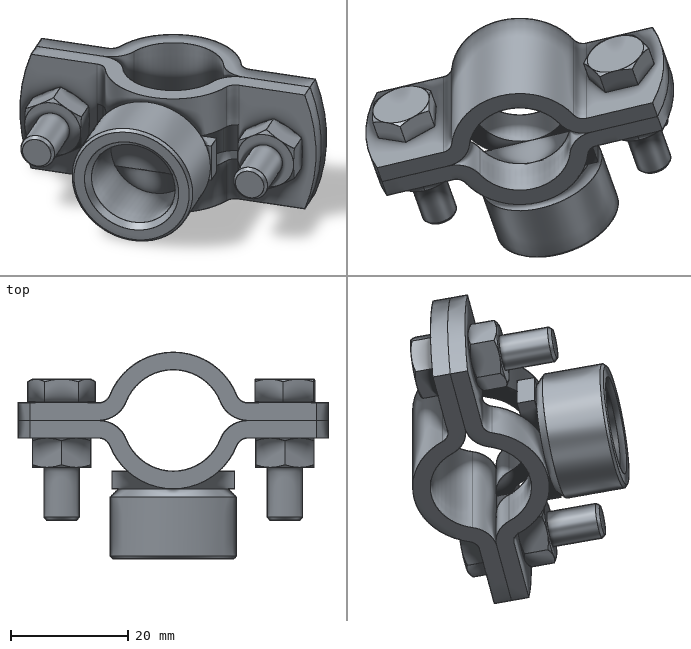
import cadquery as cq
import math

CLAMP_LENGTH = 52.85
CLAMP_HEIGHT = 22.0
STRAP_THICKNESS = 3.0
PIPE_RADIUS = 8.6
BEND_RADIUS = 2.0
END_SAGITTA = 2.0

SLOT_LENGTH = 25.05
BAR_LENGTH = 20.9
BAR_HEIGHT = 6.55

SOCKET_DIAMETER = 21.5
SOCKET_LENGTH = 11.95
SOCKET_BORE = 14.9
SOCKET_REAR_CHAMFER = 1.4
SOCKET_RIM_CHAMFER = 0.5
SOCKET_BORE_CHAMFER = 0.95

BOLT_SPACING = 38.0
BOLT_DIAMETER = 6.0
BOLT_LENGTH = 20.0
BOLT_TIP_RADIAL = 0.5
BOLT_TIP_AXIAL = 0.6
HEX_ACROSS_FLATS = 10.0
HEX_CHAMFER_ANGLE = 30.0
HEAD_THICKNESS = 4.0
WASHER_FACE_DIAMETER = 9.0
WASHER_FACE_THICKNESS = 0.15
NUT_THICKNESS = 4.95
LEFT_HEAD_TURN = 0.0
RIGHT_HEAD_TURN = 32.8
NUT_TURN = 30.0

ARCH_RADIUS = PIPE_RADIUS + STRAP_THICKNESS
HEX_ACROSS_CORNERS = HEX_ACROSS_FLATS / math.cos(math.radians(30))

BEND_CENTRE_Y = STRAP_THICKNESS + BEND_RADIUS
BEND_CENTRE_X = math.sqrt((ARCH_RADIUS + BEND_RADIUS) ** 2 - BEND_CENTRE_Y**2)
JOINT_ANGLE = math.atan2(BEND_CENTRE_Y, BEND_CENTRE_X)


def along_y(y):
    """Sketch plane at the given Y, facing +Y, with local X along X and local Y along -Z."""
    return cq.Workplane(cq.Plane(origin=(0, y, 0), xDir=(1, 0, 0), normal=(0, 1, 0)))


def arch_point(radius, angle):
    """Point on a circle about the pipe axis."""
    return (radius * math.cos(angle), radius * math.sin(angle))


def bend_middle(radius):
    """Middle of a right-hand bend arc, between the flange and the arch joint."""
    angle = (JOINT_ANGLE + math.pi + 1.5 * math.pi) / 2
    return (BEND_CENTRE_X + radius * math.cos(angle), BEND_CENTRE_Y + radius * math.sin(angle))


def mirror_x(point):
    return (-point[0], point[1])


def make_rear_half():
    """Strap of constant thickness: flange, bend, arch, bend, flange, on the +Y side."""
    tip = CLAMP_LENGTH / 2
    inner_joint = arch_point(PIPE_RADIUS, JOINT_ANGLE)
    outer_joint = arch_point(ARCH_RADIUS, JOINT_ANGLE)
    inner_bend = bend_middle(BEND_RADIUS + STRAP_THICKNESS)
    outer_bend = bend_middle(BEND_RADIUS)
    strap = (
        cq.Workplane("XY")
        .workplane(offset=-CLAMP_HEIGHT / 2)
        .moveTo(tip, 0)
        .lineTo(BEND_CENTRE_X, 0)
        .threePointArc(inner_bend, inner_joint)
        .threePointArc((0, PIPE_RADIUS), mirror_x(inner_joint))
        .threePointArc(mirror_x(inner_bend), (-BEND_CENTRE_X, 0))
        .lineTo(-tip, 0)
        .lineTo(-tip, STRAP_THICKNESS)
        .lineTo(-BEND_CENTRE_X, STRAP_THICKNESS)
        .threePointArc(mirror_x(outer_bend), mirror_x(outer_joint))
        .threePointArc((0, ARCH_RADIUS), outer_joint)
        .threePointArc(outer_bend, (BEND_CENTRE_X, STRAP_THICKNESS))
        .lineTo(tip, STRAP_THICKNESS)
        .close()
        .extrude(CLAMP_HEIGHT)
    )
    holes = (
        along_y(0)
        .pushPoints([(-BOLT_SPACING / 2, 0), (BOLT_SPACING / 2, 0)])
        .circle(BOLT_DIAMETER / 2)
        .extrude(STRAP_THICKNESS)
    )
    return strap.intersect(make_end_outline()).cut(holes)


def make_end_outline():
    """Block with bulged ends that rounds off the flange tips."""
    tip = CLAMP_LENGTH / 2
    corner_x = tip - END_SAGITTA
    corner_z = CLAMP_HEIGHT / 2
    return (
        along_y(0)
        .moveTo(-corner_x, -corner_z)
        .lineTo(corner_x, -corner_z)
        .threePointArc((tip, 0), (corner_x, corner_z))
        .lineTo(-corner_x, corner_z)
        .threePointArc((-tip, 0), (-corner_x, -corner_z))
        .close()
        .extrude(ARCH_RADIUS)
    )


def make_front_half():
    """Mirror image of the rear half, with a window across its arch for the socket bar."""
    window = cq.Workplane("XY").box(SLOT_LENGTH, 2 * ARCH_RADIUS, BAR_HEIGHT)
    return make_rear_half().mirror("XZ").cut(window)


def make_socket():
    """Plain-bored pipe socket carried on a bar that sits in the window."""
    rear = -ARCH_RADIUS
    face = rear - SOCKET_LENGTH
    radius = SOCKET_DIAMETER / 2
    bore = SOCKET_BORE / 2
    sleeve = (
        cq.Workplane("XY")
        .moveTo(bore, rear)
        .lineTo(radius - SOCKET_REAR_CHAMFER, rear)
        .lineTo(radius, rear - SOCKET_REAR_CHAMFER)
        .lineTo(radius, face + SOCKET_RIM_CHAMFER)
        .lineTo(radius - SOCKET_RIM_CHAMFER, face)
        .lineTo(bore + SOCKET_BORE_CHAMFER, face)
        .lineTo(bore, face + SOCKET_BORE_CHAMFER)
        .close()
        .revolve(360, (0, 0, 0), (0, 1, 0))
    )
    bar = along_y(rear).rect(BAR_LENGTH, BAR_HEIGHT).extrude(STRAP_THICKNESS)
    return sleeve.union(bar)


def hexagon(thickness, chamfer_near, chamfer_far):
    """Hexagonal prism from Y = 0 to Y = thickness, with corners turned off at the chosen ends."""
    flat = HEX_ACROSS_FLATS / 2
    corner = HEX_ACROSS_CORNERS / 2
    drop = (corner - flat) * math.tan(math.radians(HEX_CHAMFER_ANGLE))
    near_drop = drop if chamfer_near else 0
    far_drop = drop if chamfer_far else 0
    profile = cq.Workplane("XY").moveTo(0, 0)
    if chamfer_near:
        profile = profile.lineTo(flat, 0)
    profile = profile.lineTo(corner, near_drop).lineTo(corner, thickness - far_drop)
    if chamfer_far:
        profile = profile.lineTo(flat, thickness)
    envelope = profile.lineTo(0, thickness).close().revolve(360, (0, 0, 0), (0, 1, 0))
    prism = along_y(0).polygon(6, HEX_ACROSS_CORNERS).extrude(thickness)
    return prism.intersect(envelope)


def make_bolt(x, turn):
    """Hexagon bolt with its head on the rear flange, pointing towards -Y."""
    radius = BOLT_DIAMETER / 2
    shank = (
        cq.Workplane("XY")
        .lineTo(radius, 0)
        .lineTo(radius, BOLT_TIP_AXIAL - BOLT_LENGTH)
        .lineTo(radius - BOLT_TIP_RADIAL, -BOLT_LENGTH)
        .lineTo(0, -BOLT_LENGTH)
        .close()
        .revolve(360, (0, 0, 0), (0, 1, 0))
    )
    washer_face = along_y(0).circle(WASHER_FACE_DIAMETER / 2).extrude(WASHER_FACE_THICKNESS)
    head = hexagon(HEAD_THICKNESS - WASHER_FACE_THICKNESS, chamfer_near=False, chamfer_far=True)
    head = head.translate((0, WASHER_FACE_THICKNESS, 0))
    bolt = head.union(washer_face).union(shank).rotate((0, 0, 0), (0, 1, 0), -turn)
    return bolt.translate((x, STRAP_THICKNESS, 0))


def make_nut(x):
    """Hexagon nut against the front flange, chamfered on both faces."""
    hole = along_y(0).circle(BOLT_DIAMETER / 2).extrude(NUT_THICKNESS)
    nut = hexagon(NUT_THICKNESS, chamfer_near=True, chamfer_far=True).cut(hole)
    nut = nut.rotate((0, 0, 0), (0, 1, 0), NUT_TURN)
    return nut.translate((x, -STRAP_THICKNESS - NUT_THICKNESS, 0))


rear_half = make_rear_half()
front_half = make_front_half()
socket = make_socket()

bolts = []
nuts = []
for side, head_turn in ((-1, LEFT_HEAD_TURN), (1, RIGHT_HEAD_TURN)):
    bolt_x = side * BOLT_SPACING / 2
    bolts.append(make_bolt(bolt_x, head_turn).val())
    nuts.append(make_nut(bolt_x).val())

result = cq.Compound.makeCompound([rear_half.val(), front_half.val(), socket.val(), *bolts, *nuts])